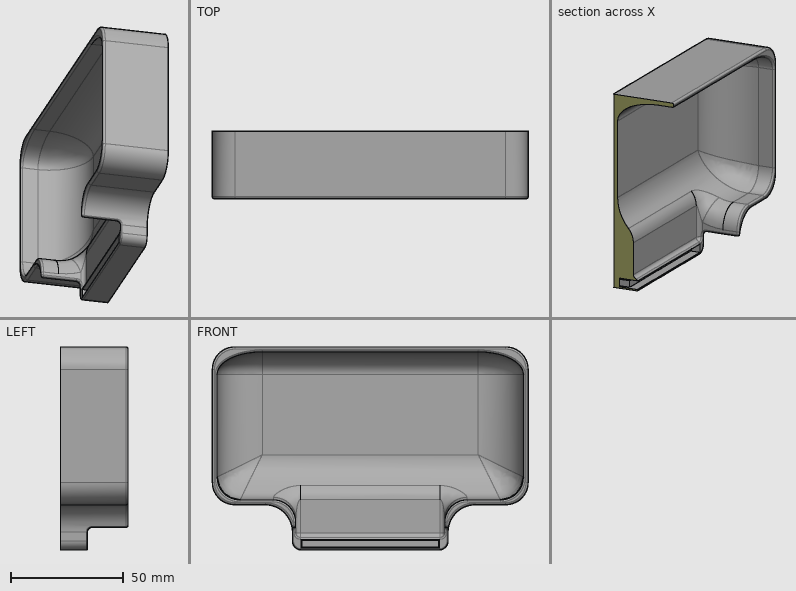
import cadquery as cq
import math

width = 140.0
depth = 30.0
height = 70.0
wall = 2.2
outer_corner_radius = 10.0
rim_fillet = 1.0
inner_rim_fillet = 0.85

floor_radius = 20.0
mitre_radius = 10.0
crown_rise = 10.0

tab_width = 69.0
tab_drop = 20.0
tab_depth = 12.0
tab_corner_radius = 4.0
tab_rim_fillet = 0.5
neck_radius = 12.0
step_drop = 10.0
step_radius = 2.0

pocket_floor = 10.0
pocket_side_lip = 1.5
pocket_bottom_lip = 5.5
pocket_radius = 2.0
blend_radius = 10.0

slot_length = 61.2
slot_height = 3.8
slot_sill = 0.9
slot_depth = 9.0
bar_clearance = 0.4
bar_depth = 5.0

tab_half = tab_width / 2
cavity_half = width / 2 - wall
cavity_top = height - wall
spring_z = cavity_top - crown_rise
crown_half = cavity_half - floor_radius
floor_axis_y = -(wall + floor_radius)
floor_axis_z = wall + floor_radius
pocket_half = tab_half - pocket_side_lip
pocket_bottom = -tab_drop + pocket_bottom_lip
tool_front = -2 * depth
eps = 0.1

side_sweep = cq.Vector(0.35, -0.8, 0.4).normalized()
middle_sweep = cq.Vector(0, -0.8, 0.4).normalized()
blend_nudge = 0.004
blend_reach = 7.0
blend_steps = 12
path_steps = 16
middle_steps = 3


def box(x0, x1, y0, y1, z0, z1):
    return cq.Workplane("XY").box(x1 - x0, y1 - y0, z1 - z0, centered=False).translate((x0, y0, z0))


def within(x0, x1, y0, y1, z0, z1):
    return cq.selectors.BoxSelector((x0, y0, z0), (x1, y1, z1))


def make_blank():
    """Solid outline of tray and tab, with the step in front of the tab and the rounded outer rims."""
    blank = box(-width / 2, width / 2, -depth, 0, 0, height).edges("|Y").fillet(outer_corner_radius)
    tab = box(-tab_half, tab_half, -depth, 0, -tab_drop, height / 2)
    blank = blank.union(tab.edges("|Y and <Z").fillet(tab_corner_radius))
    necks = within(-tab_half - eps, tab_half + eps, -depth, 0, -eps, eps)
    blank = blank.edges(necks).edges("|Y").fillet(neck_radius)

    step = box(-width / 2, width / 2, tool_front, -tab_depth, -2 * tab_drop, -step_drop)
    blank = blank.cut(step.edges("|X and >Y and >Z").fillet(step_radius))

    tab_rim = within(-tab_half - 1, tab_half + 1, -tab_depth - eps, -tab_depth + eps,
                     -tab_drop - 1, -step_drop - step_radius - eps / 2)
    blank = blank.edges(tab_rim).fillet(tab_rim_fillet)
    lowest_rim = -step_drop + tab_rim_fillet + eps
    tray_rim = [edge for edge in blank.edges("<Y").vals() if edge.Center().z > lowest_rim]
    return blank.newObject(tray_rim).fillet(rim_fillet)


def make_lower_cavity():
    """Cavity below the crown: floor fillets on the sides and bottom, with rounded mitres between them."""
    plan = box(-cavity_half, cavity_half, tool_front, -wall, wall, spring_z)
    plan = plan.edges("|Z and >Y").fillet(floor_radius)
    side = box(-cavity_half, cavity_half, tool_front, -wall, wall, 2 * height)
    side = side.edges("|X and >Y and <Z").fillet(floor_radius)
    lower = plan.intersect(side)
    mitres = within(-width, width, 0.95 * tool_front, 0, wall - eps, floor_axis_z - eps)
    return lower.edges(mitres).edges("not |X").fillet(mitre_radius)


def quarter_ellipse(plane):
    return (cq.Workplane(plane).moveTo(0, 0).lineTo(floor_radius, 0)
            .ellipseArc(floor_radius, crown_rise, 0, 90, startAtCurrent=True).close())


def make_crown():
    """Top of the cavity: elliptical vaults along the back and sides, spheroids in the corners."""
    crown = box(-crown_half, crown_half, tool_front, floor_axis_y, spring_z, cavity_top)
    back = quarter_ellipse("YZ").extrude(2 * crown_half)
    crown = crown.union(back.translate((-crown_half, floor_axis_y, spring_z)))
    side = quarter_ellipse("XZ").extrude(floor_axis_y - tool_front)
    corner = quarter_ellipse("XZ").revolve(360, (0, 0), (0, 1))
    for piece in (side, corner):
        piece = piece.translate((crown_half, floor_axis_y, spring_z))
        crown = crown.union(piece).union(piece.mirror("YZ"))
    return crown


def make_pocket():
    pocket = box(-pocket_half, pocket_half, tool_front, -pocket_floor,
                 pocket_bottom, wall + floor_radius / 2)
    return pocket.edges("<Z or (|Z and >Y)").edges("not <Y").fillet(pocket_radius)


def make_mouth():
    """Straight front part of the cavity, with the round necks leading down into the pocket."""
    low = -step_drop - pocket_radius
    bulge = 1 - math.sqrt(0.5)
    mitre_x = cavity_half - mitre_radius
    half = (cq.Workplane("XZ").moveTo(0, low).lineTo(pocket_half, low)
            .lineTo(pocket_half, wall - blend_radius)
            .threePointArc((pocket_half + blend_radius * bulge, wall - blend_radius * bulge),
                           (pocket_half + blend_radius, wall))
            .lineTo(mitre_x, wall)
            .threePointArc((cavity_half - mitre_radius * bulge, wall + mitre_radius * bulge),
                           (cavity_half, wall + mitre_radius))
            .lineTo(cavity_half, spring_z)
            .ellipseArc(floor_radius, crown_rise, 0, 90, startAtCurrent=True)
            .lineTo(0, cavity_top).close()
            .extrude(floor_axis_y - tool_front).translate((0, floor_axis_y, 0)))
    return half.union(half.mirror("YZ"))


def blend_station(x, y, to_pocket):
    """Centre of the blend arc at (x, y), and the directions to the pocket and to the cavity."""
    ring = floor_radius + blend_radius
    dy = y - floor_axis_y
    dz = math.sqrt(ring ** 2 - dy ** 2)
    centre = cq.Vector(x, y, floor_axis_z - dz)
    return centre, cq.Vector(*to_pocket), cq.Vector(0, -dy / ring, dz / ring)


def blend_cutter(stations, sweep):
    """Surface through the blend arcs of all stations, swept into the cavity."""
    rows = []
    for centre, to_pocket, to_cavity in stations:
        angle = to_pocket.getAngle(to_cavity)
        row = []
        for i in range(blend_steps + 1):
            turn = angle * i / blend_steps
            mix = to_pocket * math.sin(angle - turn) + to_cavity * math.sin(turn)
            normal = mix * (1 / math.sin(angle))
            row.append(centre + normal * blend_radius + sweep * blend_nudge)
        rows.append(row)
    face = cq.Face.makeSplineApprox(rows, tol=1e-4, minDeg=3, maxDeg=8)
    return cq.Workplane(cq.Solid.extrudeLinear(face, sweep * blend_reach))


def make_blends():
    """Convex blends between cavity and pocket: up each side, round each corner and along the top."""
    side_x = -pocket_half - blend_radius
    turn_x = -pocket_half + pocket_radius
    turn_y = -pocket_floor - pocket_radius
    turn_radius = pocket_radius + blend_radius

    side = []
    corner = []
    for i in range(path_steps + 1):
        part = i / path_steps
        side.append(blend_station(side_x, floor_axis_y + (turn_y - floor_axis_y) * part, (1, 0, 0)))
        angle = math.pi / 2 * (1 - part)
        corner.append(blend_station(turn_x - turn_radius * math.sin(angle),
                                    turn_y + turn_radius * math.cos(angle),
                                    (math.sin(angle), -math.cos(angle), 0)))
    middle = [blend_station(turn_x * (1 - 2 * i / middle_steps), turn_y + turn_radius, (0, -1, 0))
              for i in range(middle_steps + 1)]

    left = [blend_cutter(side, side_sweep), blend_cutter(corner, side_sweep)]
    right = [cutter.mirror("YZ") for cutter in left]
    return left + right + [blend_cutter(middle, middle_sweep)]


def make_cavity():
    cavity = make_lower_cavity().union(make_pocket()).union(make_crown()).union(make_mouth())
    for cutter in make_blends():
        cavity = cavity.union(cutter)
    return cavity


def is_inner_rim(edge):
    """True for front edges along the cavity, false for those along the outer rim fillet."""
    middle = edge.positionAt(0.5)
    x = abs(middle.x)
    z = middle.z
    if z < -step_drop + eps / 10:
        return False
    if edge.geomType() == "LINE":
        return abs(x - cavity_half) < eps or abs(z - cavity_top) < eps or abs(z - wall) < eps
    corner_x = width / 2 - outer_corner_radius
    rim_radius = outer_corner_radius - rim_fillet
    neck_gap = math.hypot(x - tab_half - neck_radius, z + neck_radius) - neck_radius - rim_fillet
    neck_gap_inner = math.hypot(x - tab_half - neck_radius, z + neck_radius) - neck_radius + rim_fillet
    low_gap = math.hypot(x - corner_x, z - outer_corner_radius) - rim_radius
    high_gap = math.hypot(x - corner_x, z - height + outer_corner_radius) - rim_radius
    return min(abs(neck_gap), abs(neck_gap_inner), abs(low_gap), abs(high_gap)) > eps


def make_slot():
    bottom = -tab_drop + slot_sill
    return box(-slot_length / 2, slot_length / 2, -tab_depth - 1, -tab_depth + slot_depth,
               bottom, bottom + slot_height)


def make_tray():
    tray = make_blank().cut(make_cavity())
    inner_rim = [edge for edge in tray.edges("<Y").vals() if is_inner_rim(edge)]
    tray = tray.newObject(inner_rim).fillet(inner_rim_fillet)
    return tray.cut(make_slot())


def make_bar():
    """Bar against the back of the slot, with clearance at its ends, top and bottom."""
    half = slot_length / 2 - bar_clearance
    back = -tab_depth + slot_depth
    bottom = -tab_drop + slot_sill + bar_clearance
    top = -tab_drop + slot_sill + slot_height - bar_clearance
    return box(-half, half, back - bar_depth, back, bottom, top)


tray = make_tray()
bar = make_bar()
result = cq.Compound.makeCompound([tray.solids().val(), bar.val()])